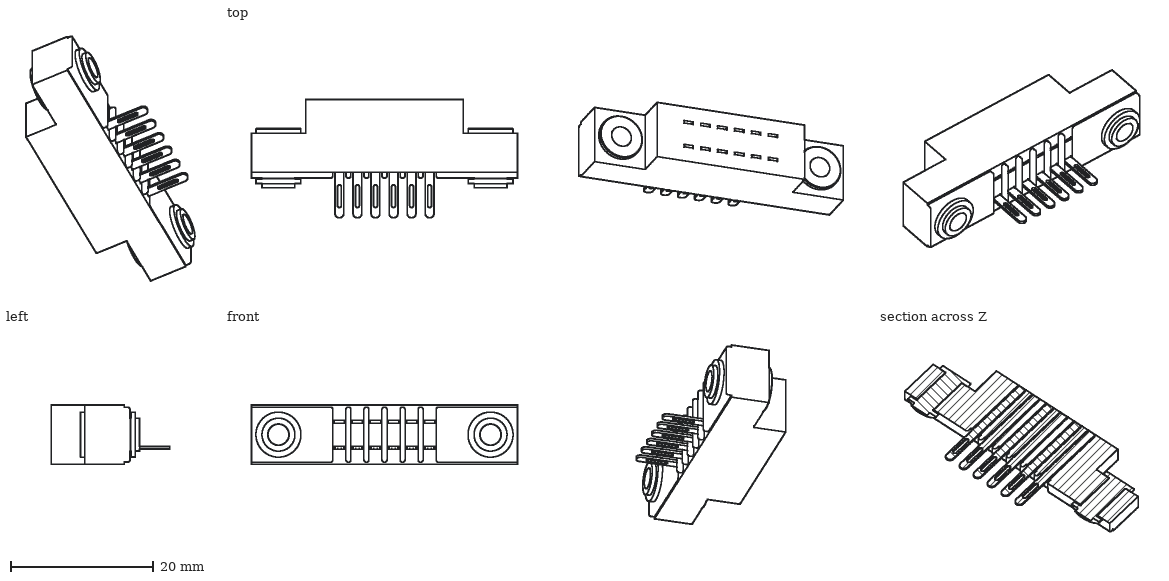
import cadquery as cq


ear_span = 37.47
housing_height = 8.38
nose_width = 22.23
nose_depth = 4.75
ear_depth = 5.54

raised_depth = 0.81
raised_height = 7.77
rib_width = 0.71
rib_count = 5
raised_fillet = 0.35

contact_count = 6
pitch = 2.54
row_height = 1.83
contact_width = 1.27
contact_thickness = 0.38
contact_reach = 6.4
eye_width = 0.51
eye_length = 3.15
eye_tip_distance = 1.48
slot_width = 1.42

eyelet_spacing = 29.87
eyelet_flange_diameter = 6.35
eyelet_barrel_diameter = 4.65
eyelet_bore_diameter = 2.95
rear_flange_depth = 0.68
rear_flange_chamfer = 0.1
front_flange_gap = 0.1
front_flange_depth = 0.66
barrel_overhang = 0.6

front_face = -ear_depth
raised_face = front_face - raised_depth
contact_tip = front_face - contact_reach
contact_xs = [(i - (contact_count - 1) / 2) * pitch for i in range(contact_count)]
rib_xs = [(i - (rib_count - 1) / 2) * pitch for i in range(rib_count)]
pad_inner_x = (rib_count + 1) / 2 * pitch - rib_width / 2
eyelet_xs = [-eyelet_spacing / 2, eyelet_spacing / 2]


def block(x_min, x_max, y_min, y_max, height, z_mid=0):
    """Box between the given X and Y limits, centred on z_mid."""
    return (
        cq.Workplane("XY")
        .box(x_max - x_min, y_max - y_min, height)
        .translate(((x_min + x_max) / 2, (y_min + y_max) / 2, z_mid))
    )


def rod(x, y_min, y_max, diameter):
    """Cylinder along Y at mid-height."""
    return (
        cq.Workplane("XZ", origin=(x, y_max, 0))
        .circle(diameter / 2)
        .extrude(y_max - y_min)
    )


def raised_block(x_min, x_max):
    """Block standing on the front face, with its free edges rounded."""
    return (
        block(x_min, x_max, raised_face, front_face, raised_height)
        .edges("|Y or <Y")
        .fillet(raised_fillet)
    )


def make_pads():
    """Two raised pads, rounded on three sides and cut square at the ear ends."""
    ear_end = ear_span / 2
    blank_end = ear_end + 2 * raised_fillet
    envelope = block(-ear_end, ear_end, raised_face, front_face, raised_height)
    left = raised_block(-blank_end, -pad_inner_x)
    right = raised_block(pad_inner_x, blank_end)
    return left.union(right).intersect(envelope)


def make_housing():
    housing = block(-ear_span / 2, ear_span / 2, front_face, 0, housing_height)
    housing = housing.union(block(-nose_width / 2, nose_width / 2, front_face, nose_depth, housing_height))
    housing = housing.union(make_pads())
    for x in rib_xs:
        housing = housing.union(raised_block(x - rib_width / 2, x + rib_width / 2))
    for x in contact_xs:
        for z in (-row_height, row_height):
            x_min = x - slot_width / 2
            x_max = x + slot_width / 2
            housing = housing.cut(block(x_min, x_max, front_face, nose_depth, contact_thickness, z))
    for x in eyelet_xs:
        housing = housing.cut(rod(x, raised_face, 0, eyelet_barrel_diameter))
    return housing


def make_contact(x):
    """Flat blade with a full-round tip and a solder eye."""
    tip_radius = contact_width / 2
    tip_start = contact_tip + tip_radius
    bottom_z = -row_height - contact_thickness / 2
    blade = (
        cq.Workplane("XY", origin=(x, 0, bottom_z))
        .moveTo(-tip_radius, nose_depth)
        .lineTo(-tip_radius, tip_start)
        .threePointArc((0, contact_tip), (tip_radius, tip_start))
        .lineTo(tip_radius, nose_depth)
        .close()
        .extrude(contact_thickness)
    )
    eye_y = contact_tip + eye_tip_distance + eye_length / 2
    eye = (
        cq.Workplane("XY", origin=(x, eye_y, bottom_z))
        .slot2D(eye_length, eye_width, 90)
        .extrude(contact_thickness)
    )
    return blade.cut(eye)


def make_eyelet(x):
    """Bushing through an ear, flanged against its rear face and just clear of the pad in front."""
    front_flange_back = raised_face - front_flange_gap
    front_flange_face = front_flange_back - front_flange_depth
    barrel_end = front_flange_face - barrel_overhang
    rear_flange = rod(x, 0, rear_flange_depth, eyelet_flange_diameter)
    rear_flange = rear_flange.faces(">Y").edges().chamfer(rear_flange_chamfer)
    return (
        rod(x, barrel_end, rear_flange_depth, eyelet_barrel_diameter)
        .union(rear_flange)
        .union(rod(x, front_flange_face, front_flange_back, eyelet_flange_diameter))
        .cut(rod(x, barrel_end, rear_flange_depth, eyelet_bore_diameter))
    )


housing = make_housing()
contacts = [make_contact(x) for x in contact_xs]
eyelets = [make_eyelet(x) for x in eyelet_xs]

result = cq.Compound.makeCompound(
    [
        housing.val(),
        *[contact.val() for contact in contacts],
        *[eyelet.val() for eyelet in eyelets],
    ]
)